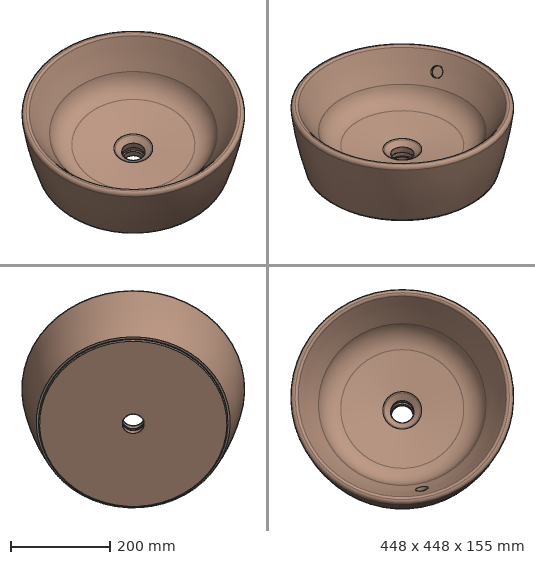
import cadquery as cq
import math

outer_radius = 224.0
height = 155.0

rim_outer_round = 8.5
rim_inner_round = 9.0
rim_inner_run = 6.3
rim_crest_radius = outer_radius - rim_outer_round

wall_foot_radius = 195.0
wall_foot_z = 6.3
wall_bulge = 3.0
foot_top_radius = 190.5
foot_bottom_radius = 188.0
foot_chamfer_height = 2.5

shoulder_radius = 168.5
shoulder_z = 90.5
floor_radius = 123.5
floor_z = 56.5
bowl_wall_sag = 1.0
bowl_corner_sag = 7.5

drain_lip_radius = 39.0
drain_lip_z = 46.0
funnel_top_radius = 36.5
funnel_top_z = 45.0
bore_radius = 23.5
bore_top_z = 36.0
bore_bottom_z = 23.0
seat_radius = 26.0
seat_z = 12.5
outlet_radius = 22.0

overflow_diameter = 25.0
overflow_z = 117.5
overflow_depth = 10.0


def bowed_midpoint(start, end, bow):
    """Middle of a chord, moved by `bow` to the right of the start-to-end direction."""
    run = end[0] - start[0]
    rise = end[1] - start[1]
    length = math.hypot(run, rise)
    return (
        (start[0] + end[0]) / 2 + bow * rise / length,
        (start[1] + end[1]) / 2 - bow * run / length,
    )


def rim_point(rounding, angle):
    """Point on a rim round that peaks at the crest, at an angle (degrees) inward from the crest."""
    return (
        rim_crest_radius - rounding * math.sin(math.radians(angle)),
        height - rounding * (1 - math.cos(math.radians(angle))),
    )


wall_foot = (wall_foot_radius, wall_foot_z)
wall_top = rim_point(rim_outer_round, -90)
rim_crest = (rim_crest_radius, height)
rim_inner_angle = math.degrees(math.asin(rim_inner_run / rim_inner_round))
bowl_top = rim_point(rim_inner_round, rim_inner_angle)
shoulder = (shoulder_radius, shoulder_z)
floor_edge = (floor_radius, floor_z)


def make_basin():
    """Solid of revolution holding the wall, the rim, the bowl and the drain."""
    profile = (
        cq.Workplane("XZ")
        .moveTo(outlet_radius, 0)
        .lineTo(foot_bottom_radius, 0)
        .lineTo(foot_top_radius, foot_chamfer_height)
        .lineTo(foot_top_radius, wall_foot_z)
        .lineTo(*wall_foot)
        .threePointArc(bowed_midpoint(wall_foot, wall_top, wall_bulge), wall_top)
        .threePointArc(rim_point(rim_outer_round, -45), rim_crest)
        .threePointArc(rim_point(rim_inner_round, rim_inner_angle / 2), bowl_top)
        .threePointArc(bowed_midpoint(shoulder, bowl_top, bowl_wall_sag), shoulder)
        .threePointArc(bowed_midpoint(floor_edge, shoulder, bowl_corner_sag), floor_edge)
        .lineTo(drain_lip_radius, drain_lip_z)
        .lineTo(funnel_top_radius, funnel_top_z)
        .lineTo(bore_radius, bore_top_z)
        .lineTo(bore_radius, bore_bottom_z)
        .lineTo(seat_radius, bore_bottom_z)
        .lineTo(seat_radius, seat_z)
        .lineTo(outlet_radius, seat_z)
        .close()
    )
    return profile.revolve(360, (0, 0, 0), (0, 1, 0))


def make_overflow_cutter():
    """Cylinder sunk into the front of the bowl wall."""
    run = bowl_top[0] - shoulder[0]
    rise = bowl_top[1] - shoulder[1]
    mouth_radius = shoulder_radius + run * (overflow_z - shoulder_z) / rise
    slope_length = math.hypot(run, rise)
    into_wall = cq.Vector(0, -rise / slope_length, -run / slope_length)
    mouth = cq.Vector(0, -mouth_radius, overflow_z)
    start = mouth - into_wall * overflow_depth
    return cq.Workplane(
        cq.Solid.makeCylinder(overflow_diameter / 2, 2 * overflow_depth, start, into_wall)
    )


result = make_basin().cut(make_overflow_cutter())